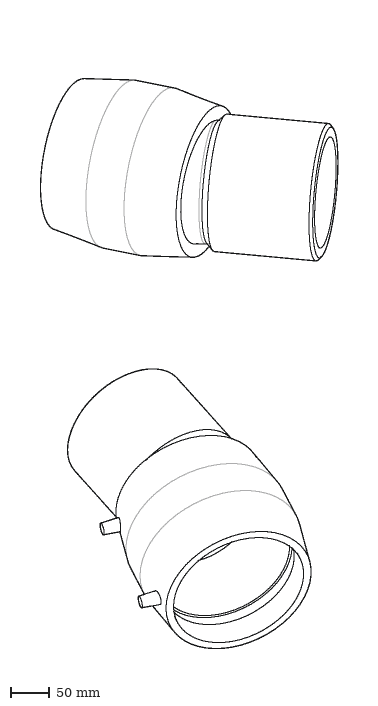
import cadquery as cq
import math

SLEEVE_LENGTH = 192.0
SLEEVE_DIAMETER = 223.0
RIM_DIAMETER = 201.0
BAND_LENGTH = 54.0

SOCKET_DIAMETER = 180.0
SOCKET_DEPTH = 170.0
GROOVE_START = 36.0
GROOVE_END = 54.0
GROOVE_DEPTH = 3.5

TILT_ANGLE = 12.0
PIVOT_X = SLEEVE_LENGTH
SPIGOT_DIAMETER = 180.0
SPIGOT_END = 157.74
END_CHAMFER_LENGTH = 4.0
END_CHAMFER_HEIGHT = 4.5

NECK_DIAMETER = 162.0
NECK_ROOT_DIAMETER = 167.0
NECK_ROOT = -20.0
NECK_TAPER_END = 6.0
NECK_END = 10.0

NOSE_ROOT_DIAMETER = 162.0
BORE_DIAMETER = 145.08
BORE_START = -50.0

TERMINAL_SPACING = 146.0
TERMINAL_FIRST_X = 22.5
TERMINAL_TOP_Y = 128.0
TERMINAL_ROOT_Y = 95.0
TERMINAL_TOP_DIAMETER = 16.0
TERMINAL_ROOT_DIAMETER = 20.0


def spigot_plane(station):
    """Plane square to the spigot axis at a station measured from the pivot."""
    tilt = math.radians(TILT_ANGLE)
    axis = (math.cos(tilt), math.sin(tilt), 0)
    origin = (PIVOT_X + station * axis[0], station * axis[1], 0)
    return cq.Plane(origin=origin, xDir=(0, 0, 1), normal=axis)


def revolve_about_x(points):
    """Solid turned about the X axis from an (x, radius) outline."""
    return cq.Workplane("XY").polyline(points).close().revolve(360, (0, 0, 0), (1, 0, 0))


def make_sleeve():
    taper_length = (SLEEVE_LENGTH - BAND_LENGTH) / 2
    return revolve_about_x([
        (0, 0),
        (0, RIM_DIAMETER / 2),
        (taper_length, SLEEVE_DIAMETER / 2),
        (taper_length + BAND_LENGTH, SLEEVE_DIAMETER / 2),
        (SLEEVE_LENGTH, RIM_DIAMETER / 2),
        (SLEEVE_LENGTH, 0),
    ])


def make_spigot():
    """Tapered neck, 45-degree shoulder and pipe end, turned about X and then tilted."""
    shoulder_length = (SPIGOT_DIAMETER - NECK_DIAMETER) / 2
    spigot = revolve_about_x([
        (NECK_ROOT, 0),
        (NECK_ROOT, NECK_ROOT_DIAMETER / 2),
        (NECK_TAPER_END, NECK_DIAMETER / 2),
        (NECK_END, NECK_DIAMETER / 2),
        (NECK_END + shoulder_length, SPIGOT_DIAMETER / 2),
        (SPIGOT_END - END_CHAMFER_LENGTH, SPIGOT_DIAMETER / 2),
        (SPIGOT_END, SPIGOT_DIAMETER / 2 - END_CHAMFER_HEIGHT),
        (SPIGOT_END, 0),
    ])
    return spigot.rotate((0, 0, 0), (0, 0, 1), TILT_ANGLE).translate((PIVOT_X, 0, 0))


def make_terminal(x):
    height = TERMINAL_TOP_Y - TERMINAL_ROOT_Y
    terminal = cq.Solid.makeCone(
        TERMINAL_ROOT_DIAMETER / 2,
        TERMINAL_TOP_DIAMETER / 2,
        height,
        pnt=cq.Vector(x, TERMINAL_ROOT_Y, 0),
        dir=cq.Vector(0, 1, 0),
    )
    return cq.Workplane(obj=terminal)


def make_socket():
    """Socket cavity with its undercut groove."""
    radius = SOCKET_DIAMETER / 2
    groove_radius = radius + GROOVE_DEPTH
    return revolve_about_x([
        (0, 0),
        (0, radius),
        (GROOVE_START, radius),
        (GROOVE_START, groove_radius),
        (GROOVE_END, groove_radius),
        (GROOVE_END, radius),
        (SOCKET_DEPTH, radius),
        (SOCKET_DEPTH, 0),
    ])


def make_nose():
    """Tapered end of the spigot that reaches back into the socket from its end wall."""
    wall_plane = cq.Plane(origin=(SOCKET_DEPTH, 0, 0), xDir=(0, 0, 1), normal=(1, 0, 0))
    root = cq.Workplane(wall_plane).circle(NOSE_ROOT_DIAMETER / 2).wires().val()
    tip = cq.Workplane(spigot_plane(BORE_START)).circle(BORE_DIAMETER / 2).wires().val()
    return cq.Workplane(obj=cq.Solid.makeLoft([tip, root], True))


def make_bore():
    return cq.Workplane(spigot_plane(BORE_START)).circle(BORE_DIAMETER / 2).extrude(SPIGOT_END - BORE_START)


result = make_sleeve().union(make_spigot()).cut(make_socket()).union(make_nose())
for terminal_x in (TERMINAL_FIRST_X, TERMINAL_FIRST_X + TERMINAL_SPACING):
    result = result.union(make_terminal(terminal_x))
result = result.cut(make_bore())